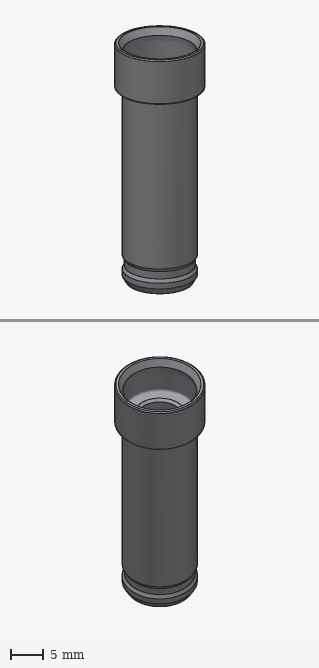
import cadquery as cq
import math

length = 40.0
head_diameter = 14.0
head_height = 7.5
head_chamfer = 0.2
body_diameter = 11.7
bore_diameter = 7.0

taper_slope = math.tan(math.radians(30))

tip_taper_height = 1.1
groove_diameter = 11.0
groove_bottom = 2.05
groove_top = 4.45

mouth_diameter = 12.75
throat_diameter = 11.4
socket_diameter = 11.6
relief_depth = 2.1
socket_depth = 6.0
floor_fillet = 0.4
bore_entry_diameter = 8.1

head_radius = head_diameter / 2
body_radius = body_diameter / 2
groove_radius = groove_diameter / 2
socket_radius = socket_diameter / 2
bore_radius = bore_diameter / 2
bore_entry_radius = bore_entry_diameter / 2
head_bottom = length - head_height
socket_floor = length - socket_depth


def make_outer_body():
    """Stepped solid with a tapered tip and a groove with sloping flanks."""
    tip_radius = body_radius - tip_taper_height * taper_slope
    flank_height = (body_radius - groove_radius) / taper_slope
    return (
        cq.Workplane("XZ")
        .moveTo(0, 0)
        .lineTo(tip_radius, 0)
        .lineTo(body_radius, tip_taper_height)
        .lineTo(body_radius, groove_bottom)
        .lineTo(groove_radius, groove_bottom + flank_height)
        .lineTo(groove_radius, groove_top - flank_height)
        .lineTo(body_radius, groove_top)
        .lineTo(body_radius, head_bottom)
        .lineTo(head_radius - head_chamfer, head_bottom)
        .lineTo(head_radius, head_bottom + head_chamfer)
        .lineTo(head_radius, length - head_chamfer)
        .lineTo(head_radius - head_chamfer, length)
        .lineTo(0, length)
        .close()
        .revolve(360, (0, 0, 0), (0, 1, 0))
    )


def make_cavity():
    """Socket with a flared mouth and filleted floor, opening into the through bore."""
    mouth_radius = mouth_diameter / 2
    throat_radius = throat_diameter / 2
    throat_depth = (mouth_radius - throat_radius) / taper_slope
    bore_entry_depth = (bore_entry_radius - bore_radius) * taper_slope
    fillet_diagonal = floor_fillet * (1 - math.sqrt(0.5))
    return (
        cq.Workplane("XZ")
        .moveTo(0, 0)
        .lineTo(bore_radius, 0)
        .lineTo(bore_radius, socket_floor - bore_entry_depth)
        .lineTo(bore_entry_radius, socket_floor)
        .lineTo(socket_radius - floor_fillet, socket_floor)
        .threePointArc(
            (socket_radius - fillet_diagonal, socket_floor + fillet_diagonal),
            (socket_radius, socket_floor + floor_fillet),
        )
        .lineTo(socket_radius, length - relief_depth)
        .lineTo(throat_radius, length - throat_depth)
        .lineTo(mouth_radius, length)
        .lineTo(0, length)
        .close()
        .revolve(360, (0, 0, 0), (0, 1, 0))
    )


result = make_outer_body().cut(make_cavity())